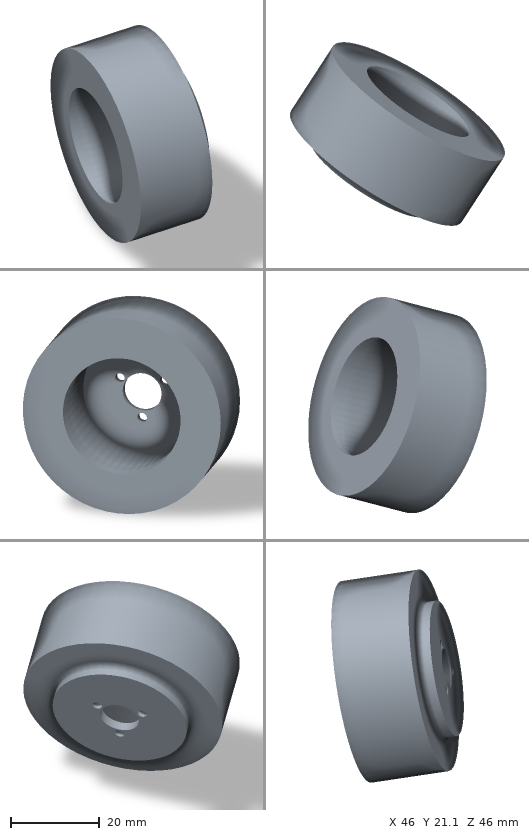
import cadquery as cq

body_diameter = 46.0
body_length = 18.0
body_radius = body_diameter / 2

boss_diameter = 31.0
boss_height = 3.05
boss_radius = boss_diameter / 2
root_fillet = 1.0
total_length = body_length + boss_height

bore_diameter = 27.32
floor_thickness = 2.02
bore_depth = total_length - floor_thickness

shaft_hole_diameter = 9.0
screw_hole_diameter = 2.2
screw_circle_radius = 6.0
screw_count = 3
first_screw_angle = -90.0


def front_plane():
    """Sketch plane on the front face: X right, Z up, normal toward -Y."""
    return cq.Workplane("XZ")


def drum():
    """Body, root fillet and boss turned about the Y axis as one profile."""
    return (
        cq.Workplane("XY")
        .lineTo(body_radius, 0)
        .lineTo(body_radius, body_length)
        .lineTo(boss_radius + root_fillet, body_length)
        .radiusArc((boss_radius, body_length + root_fillet), root_fillet)
        .lineTo(boss_radius, total_length)
        .lineTo(0, total_length)
        .close()
        .revolve(360, (0, 0, 0), (0, 1, 0))
    )


def central_hole(diameter, depth):
    return front_plane().circle(diameter / 2).extrude(-depth)


def screw_holes():
    return (
        front_plane()
        .polarArray(screw_circle_radius, first_screw_angle, 360, screw_count)
        .circle(screw_hole_diameter / 2)
        .extrude(-total_length)
    )


result = (
    drum()
    .cut(central_hole(bore_diameter, bore_depth))
    .cut(central_hole(shaft_hole_diameter, total_length))
    .cut(screw_holes())
)